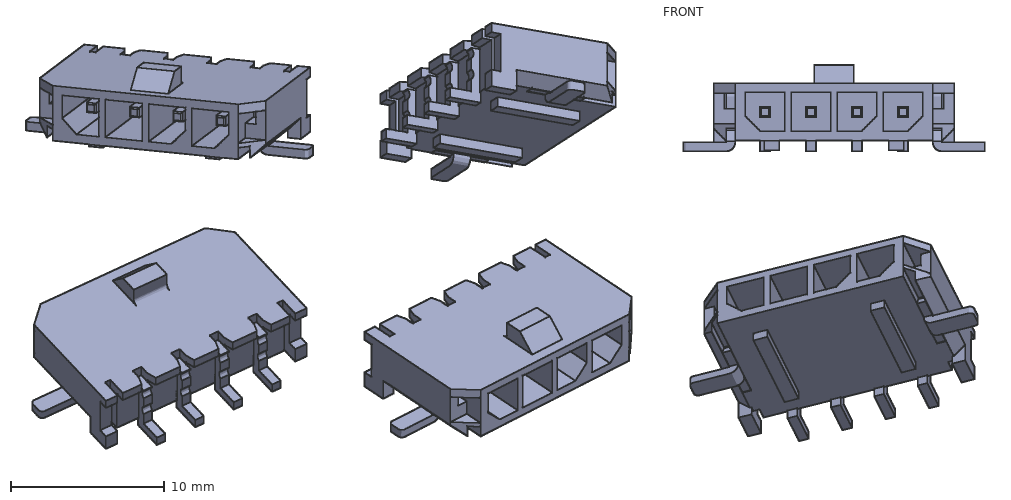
import cadquery as cq
import math


HOUSING_WIDTH = 15.68
HOUSING_DEPTH = 9.88
HOUSING_TOP = 4.45
HOUSING_BOTTOM = 0.7
HALF_WIDTH = HOUSING_WIDTH / 2

BEVEL = 0.79
BEVEL_BACK = 8.04
NOSE_HALF_WIDTH = 6.43
CORNER_DEPTH = 1.38
CORNER_POCKET_BOTTOM = 1.79
CORNER_POCKET_TOP = 3.8

EAR_WIDTH = 0.9
EAR_SLOT_WIDTH = 0.41
EAR_SLOT_FRONT = 8.41
REAR_RECESS_FRONT = 9.2
REAR_RECESS_BOTTOM = 1.2
REAR_RECESS_TOP = 3.8
STANDOFF_BOTTOM = 0.05

LATCH_WIDTH = 2.6
LATCH_TOP = 5.64
LATCH_RAMP_START = 0.77
LATCH_CREST_FRONT = 1.98
LATCH_BACK = 3.26
LATCH_ROOT_RADIUS = 0.3

RIB_WIDTH = 0.96
RIB_CENTER = 4.05
RIB_FRONT = 1.67
RIB_BACK = 7.7

CONTACT_COUNT = 4
CONTACT_ROW_SPAN = 9.0
PITCH = CONTACT_ROW_SPAN / (CONTACT_COUNT - 1)
SOCKET_SIZE = 2.55
SOCKET_KEY = 1.0
SOCKET_DEPTH = 7.07
KEY_SIDES = [-1, 0, 1, 1]
CONTACT_SIZE = 0.67
CONTACT_AXIS_HEIGHT = 2.57
TIP_FRONT = 1.96
TIP_CHAMFER = 0.1
RETAINER_HEIGHT = 2.2
RETAINER_BOTTOM = CONTACT_AXIS_HEIGHT - RETAINER_HEIGHT / 2
RETAINER_TOP = CONTACT_AXIS_HEIGHT + RETAINER_HEIGHT / 2
RETAINER_FRONT = 8.5
LEG_BACK = 9.79
TAIL_BACK = 11.35
NOTCH_RADIUS = 0.403
NOTCH_DEPTH = 0.15
NOTCH_SPACING = 1.43
RELIEF_WIDTH = 1.1

NAIL_SPAN = 19.65
NAIL_THICKNESS = 0.6
NAIL_FRONT = 2.63
NAIL_BACK = 6.55
NAIL_FOOT_BOTTOM = 0.67
NAIL_SHOULDER_TOP = 1.38
NAIL_SHOULDER_RUN = 0.31
NAIL_TOP = CORNER_POCKET_TOP
NAIL_TOP_RADIUS = 0.28
TAB_WIDTH = 1.24
TAB_TIP_RADIUS = 0.3
NAIL_UPPER_FRONT = NAIL_FRONT + NAIL_SHOULDER_RUN
NAIL_UPPER_BACK = NAIL_BACK - NAIL_SHOULDER_RUN
NAIL_CENTER = (NAIL_FRONT + NAIL_BACK) / 2
NAIL_OUTER = NOSE_HALF_WIDTH + NAIL_THICKNESS
UPPER_CHANNEL_BOTTOM = 2.8
UPPER_CHANNEL_OUTER = 7.15
LOWER_CHANNEL_TOP = 1.5

SIDES = (-1, 1)
CONTACT_CENTERS = [(i - (CONTACT_COUNT - 1) / 2) * PITCH for i in range(CONTACT_COUNT)]


def box(x_a, x_b, y_a, y_b, z_a, z_b):
    """Axis-aligned block between two opposite corners, given in either order along X."""
    return (
        cq.Workplane("XY")
        .box(abs(x_b - x_a), y_b - y_a, z_b - z_a, centered=False)
        .translate((min(x_a, x_b), y_a, z_a))
    )


def side_profile_solid(profile, x_center, width):
    """Extrude a closed YZ profile by the given width, centred on x_center."""
    return profile.extrude(width / 2, both=True).translate((x_center, 0, 0))




def make_contact(x_center):
    """Square pin with a tapered tip, a tall retainer block, and a leg bent back into a solder tail."""
    half = CONTACT_SIZE / 2
    x_left = x_center - half
    x_right = x_center + half
    shank = box(
        x_left, x_right, TIP_FRONT, RETAINER_FRONT, CONTACT_AXIS_HEIGHT - half, CONTACT_AXIS_HEIGHT + half
    )
    shank = shank.faces("<Y").chamfer(TIP_CHAMFER)
    retainer = box(x_left, x_right, RETAINER_FRONT, LEG_BACK, RETAINER_BOTTOM, RETAINER_TOP)
    leg = box(x_left, x_right, LEG_BACK - CONTACT_SIZE, LEG_BACK, 0, RETAINER_BOTTOM)
    tail = box(x_left, x_right, LEG_BACK, TAIL_BACK, 0, CONTACT_SIZE)
    contact = shank.union(retainer).union(leg).union(tail)
    for side in SIDES:
        notch = (
            cq.Workplane("YZ")
            .center(LEG_BACK - NOTCH_DEPTH + NOTCH_RADIUS, CONTACT_AXIS_HEIGHT + side * NOTCH_SPACING / 2)
            .circle(NOTCH_RADIUS)
        )
        contact = contact.cut(side_profile_solid(notch, x_center, CONTACT_SIZE))
    return contact




def make_nail(side):
    """Upright plate held in the housing side, with a rounded tab bent outward at its foot."""
    plate_profile = (
        cq.Workplane("YZ")
        .moveTo(NAIL_FRONT, NAIL_FOOT_BOTTOM)
        .lineTo(NAIL_BACK, NAIL_FOOT_BOTTOM)
        .lineTo(NAIL_UPPER_BACK, NAIL_SHOULDER_TOP)
        .lineTo(NAIL_UPPER_BACK, NAIL_TOP)
        .lineTo(NAIL_UPPER_FRONT, NAIL_TOP)
        .lineTo(NAIL_UPPER_FRONT, NAIL_SHOULDER_TOP)
        .close()
    )
    plate_center = side * (NOSE_HALF_WIDTH + NAIL_OUTER) / 2
    plate = side_profile_solid(plate_profile, plate_center, NAIL_THICKNESS)
    plate = plate.edges("|X").edges(">Z").fillet(NAIL_TOP_RADIUS)

    tab_front = NAIL_CENTER - TAB_WIDTH / 2
    tab_back = NAIL_CENTER + TAB_WIDTH / 2
    tab = box(side * NAIL_OUTER, side * NAIL_SPAN / 2, tab_front, tab_back, 0, NAIL_THICKNESS)
    tab = tab.faces("<X" if side < 0 else ">X").edges("|Z").fillet(TAB_TIP_RADIUS)

    bend_space = box(side * NOSE_HALF_WIDTH, side * NAIL_OUTER, tab_front, tab_back, 0, NAIL_THICKNESS)
    bend = (
        cq.Workplane("XZ", origin=(0, tab_back, 0))
        .center(side * NAIL_OUTER, NAIL_THICKNESS)
        .circle(NAIL_THICKNESS)
        .extrude(TAB_WIDTH)
        .intersect(bend_space)
    )
    neck = box(
        side * NOSE_HALF_WIDTH, side * NAIL_OUTER, tab_front, tab_back, NAIL_THICKNESS, NAIL_FOOT_BOTTOM
    )
    return plate.union(neck).union(bend).union(tab)




def make_shell():
    """Housing block with chamfered front corners, side bevels and standoff feet at the rear ears."""
    right_outline = [
        (NOSE_HALF_WIDTH, 0),
        (HALF_WIDTH, CORNER_DEPTH),
        (HALF_WIDTH, HOUSING_DEPTH),
    ]
    left_outline = [(-x, y) for x, y in reversed(right_outline)]
    shell = (
        cq.Workplane("XY", origin=(0, 0, HOUSING_BOTTOM))
        .polyline(right_outline + left_outline)
        .close()
        .extrude(HOUSING_TOP - HOUSING_BOTTOM)
    )
    for side in SIDES:
        bevel = (
            cq.Workplane("XZ")
            .polyline(
                [
                    (side * HALF_WIDTH, HOUSING_BOTTOM),
                    (side * (HALF_WIDTH - BEVEL), HOUSING_BOTTOM),
                    (side * HALF_WIDTH, HOUSING_BOTTOM + BEVEL),
                ]
            )
            .close()
            .extrude(-BEVEL_BACK)
        )
        standoff = box(
            side * (HALF_WIDTH - EAR_WIDTH),
            side * HALF_WIDTH,
            BEVEL_BACK,
            HOUSING_DEPTH,
            STANDOFF_BOTTOM,
            HOUSING_BOTTOM,
        )
        corner_pocket = box(
            side * NOSE_HALF_WIDTH,
            side * HALF_WIDTH,
            0,
            CORNER_DEPTH,
            CORNER_POCKET_BOTTOM,
            CORNER_POCKET_TOP,
        )
        shell = shell.cut(bevel).union(standoff).cut(corner_pocket)
    return shell


def make_latch():
    """Ramp on the top face with a vertical back and a rounded root behind it."""
    root_end = LATCH_BACK + LATCH_ROOT_RADIUS
    root_center_z = HOUSING_TOP + LATCH_ROOT_RADIUS
    mid_root = LATCH_ROOT_RADIUS * math.sqrt(0.5)
    profile = (
        cq.Workplane("YZ")
        .moveTo(LATCH_RAMP_START, HOUSING_TOP)
        .lineTo(LATCH_CREST_FRONT, LATCH_TOP)
        .lineTo(LATCH_BACK, LATCH_TOP)
        .lineTo(LATCH_BACK, root_center_z)
        .threePointArc((root_end - mid_root, root_center_z - mid_root), (root_end, HOUSING_TOP))
        .close()
    )
    return side_profile_solid(profile, 0, LATCH_WIDTH)


def make_rib(side):
    """Support rib running front to back under the housing."""
    center = side * RIB_CENTER
    return box(
        center - RIB_WIDTH / 2, center + RIB_WIDTH / 2, RIB_FRONT, RIB_BACK, STANDOFF_BOTTOM, HOUSING_BOTTOM
    )


def make_socket(x_center, key_side):
    """Square socket cavity; key_side fills the lower left (-1) or lower right (1) corner, 0 neither."""
    half = SOCKET_SIZE / 2
    socket = box(
        x_center - half,
        x_center + half,
        0,
        SOCKET_DEPTH,
        CONTACT_AXIS_HEIGHT - half,
        CONTACT_AXIS_HEIGHT + half,
    )
    if key_side < 0:
        socket = socket.edges("|Y").edges("<X").edges("<Z").chamfer(SOCKET_KEY)
    elif key_side > 0:
        socket = socket.edges("|Y").edges(">X").edges("<Z").chamfer(SOCKET_KEY)
    return socket


def make_contact_relief(x_center):
    """Notch in the rear edge of the top wall, above the contact and flaring toward the rear."""
    half_slot = CONTACT_SIZE / 2
    half_mouth = RELIEF_WIDTH / 2
    return (
        cq.Workplane("XY", origin=(0, 0, RETAINER_TOP))
        .polyline(
            [
                (x_center - half_slot, RETAINER_FRONT),
                (x_center + half_slot, RETAINER_FRONT),
                (x_center + half_slot, REAR_RECESS_FRONT),
                (x_center + half_mouth, HOUSING_DEPTH),
                (x_center - half_mouth, HOUSING_DEPTH),
                (x_center - half_slot, REAR_RECESS_FRONT),
            ]
        )
        .close()
        .extrude(HOUSING_TOP - RETAINER_TOP)
    )


def make_rear_recess():
    """Recess under the rear edge of the top wall; between the ears it opens downward."""
    ear_inner = HALF_WIDTH - EAR_WIDTH
    upper = box(
        -HALF_WIDTH, HALF_WIDTH, REAR_RECESS_FRONT, HOUSING_DEPTH, REAR_RECESS_BOTTOM, REAR_RECESS_TOP
    )
    lower = box(-ear_inner, ear_inner, REAR_RECESS_FRONT, HOUSING_DEPTH, HOUSING_BOTTOM, REAR_RECESS_BOTTOM)
    return upper.union(lower)


def make_ear_slot(side):
    """Vertical slot that separates a rear ear from the middle of the housing."""
    ear_inner = HALF_WIDTH - EAR_WIDTH
    return box(
        side * (ear_inner - EAR_SLOT_WIDTH),
        side * ear_inner,
        EAR_SLOT_FRONT,
        HOUSING_DEPTH,
        STANDOFF_BOTTOM,
        HOUSING_TOP,
    )


def make_nail_channels(side):
    """Upper and lower channels that run from the front corner back to the solder nail."""
    inner = side * NOSE_HALF_WIDTH
    upper_back = NAIL_UPPER_FRONT + NAIL_TOP_RADIUS
    upper = box(
        inner, side * UPPER_CHANNEL_OUTER, CORNER_DEPTH, upper_back, UPPER_CHANNEL_BOTTOM, CORNER_POCKET_TOP
    )
    lower = box(inner, side * NAIL_OUTER, 0, NAIL_UPPER_FRONT, HOUSING_BOTTOM, LOWER_CHANNEL_TOP)
    return upper.union(lower)


def make_housing(inserts):
    """Complete housing, with matching recesses for the contacts and nails pressed into it."""
    housing = make_shell().union(make_latch())
    housing = housing.cut(make_rear_recess())
    for side in SIDES:
        housing = housing.union(make_rib(side)).cut(make_ear_slot(side)).cut(make_nail_channels(side))
    for x_center, key_side in zip(CONTACT_CENTERS, KEY_SIDES):
        housing = housing.cut(make_socket(x_center, key_side)).cut(make_contact_relief(x_center))
    for insert in inserts:
        housing = housing.cut(insert)
    return housing


contacts = [make_contact(x_center) for x_center in CONTACT_CENTERS]
nails = [make_nail(side) for side in SIDES]
housing = make_housing(contacts + nails)

result = cq.Compound.makeCompound([housing.val(), *[body.val() for body in contacts + nails]])